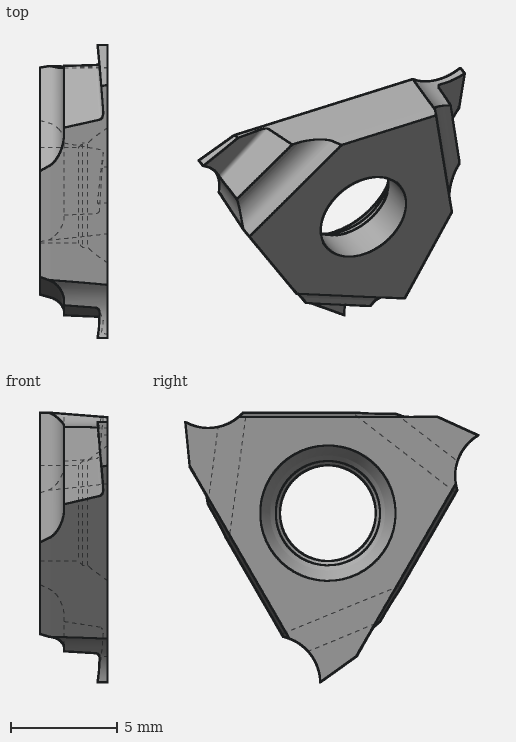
import cadquery as cq
import math


THICKNESS = 3.19
TEETH = 3
REACH = 8.27

APOTHEM = 4.73
COLLAR = 0.51
SIDE_TAPER = 4.5

HOLE_R = 2.25
BORE_END = 1.8
RELIEF_R = 2.45
RELIEF_START = 2.01
RELIEF_END = 2.25
FLARE_R = 2.7
FLARE_DEPTH = 2.51
MOUTH_R = 3.19

TIP = (6.72, 4.32)
HEEL = (6.5, 2.07)
FLANK_R = 2.23
FLANK_CENTER_U = 5.63
FLANK_LOW_V = 4.01

GROOVE_ANGLE = 7.75
GROOVE_START = 4.44
ENTRY_END = (4.59, 0.44)
ARC_END = (5.36, 1.13)
GROOVE_R = 1.0
RIDGE = (5.67, ARC_END[1])
RAKE_TILT = 3.5
RAKE_ROOT = (5.79, 2.8)
LAND_START = (6.72, 2.76)
LAND_TIP = (7.24, 2.7)
TIP_ALONG = -3.35
ROOT_FILLET = 0.2

FACE_PLANE = cq.Plane(origin=(0, 0, 0), xDir=(0, -1, 0), normal=(-1, 0, 0))


def face_sketch(depth=0):
    return cq.Workplane(FACE_PLANE).workplane(offset=-depth)


def make_body():
    """Triangle with one side on top: a straight collar, then a tapered part."""
    circumscribed = 4 * APOTHEM
    taper_depth = THICKNESS - COLLAR
    collar = face_sketch().polygon(TEETH, circumscribed).extrude(-COLLAR)
    tapered = face_sketch(COLLAR).polygon(TEETH, circumscribed).extrude(-taper_depth, taper=SIDE_TAPER)
    return collar.union(tapered).rotate((0, 0, 0), (1, 0, 0), -30)


def make_hole():
    """Revolved hole with its wide mouth on the back face."""
    profile = [
        (0, 0),
        (0, HOLE_R),
        (BORE_END, HOLE_R),
        (RELIEF_START, RELIEF_R),
        (RELIEF_END, RELIEF_R),
        (FLARE_DEPTH, FLARE_R),
        (THICKNESS, MOUTH_R),
        (THICKNESS, 0),
    ]
    return cq.Workplane("XY").polyline(profile).close().revolve(360, (0, 0, 0), (1, 0, 0))


def make_flank():
    """Round cutter that leaves the concave flank of one tooth."""
    center_v = FLANK_LOW_V + FLANK_R
    return face_sketch().center(FLANK_CENTER_U, center_v).circle(FLANK_R).extrude(-THICKNESS)


def make_end_trim():
    """Everything past the straight end face of one tooth."""
    lean = (TIP[0] - HEEL[0]) / (TIP[1] - HEEL[1])
    top_u = TIP[0] + lean * REACH
    top_v = TIP[1] + REACH
    bottom_u = HEEL[0] - lean * REACH
    bottom_v = HEEL[1] - REACH
    outline = [
        (bottom_u, bottom_v),
        (top_u, top_v),
        (top_u + REACH, top_v),
        (bottom_u + REACH, bottom_v),
    ]
    return face_sketch().polyline(outline).close().extrude(-THICKNESS)


def groove_sketch(along, tilt):
    """Section plane across the groove: local x is outward, local y is depth."""
    angle = math.radians(GROOVE_ANGLE)
    slope = math.radians(tilt)
    outward = cq.Vector(0, -math.cos(angle), math.sin(angle))
    along_dir = cq.Vector(0, -math.sin(angle), -math.cos(angle))
    normal = along_dir * -math.cos(slope) + cq.Vector(-math.sin(slope), 0, 0)
    return cq.Workplane(cq.Plane(origin=along_dir * along, xDir=outward, normal=normal))


def make_seat_groove():
    """Sloped entry and concave arc that ends in a flat step."""
    run = ARC_END[0] - ENTRY_END[0]
    rise = ARC_END[1] - ENTRY_END[1]
    chord = math.hypot(run, rise)
    sagitta = GROOVE_R - math.sqrt(GROOVE_R ** 2 - (chord / 2) ** 2)
    arc_middle = (
        (ENTRY_END[0] + ARC_END[0]) / 2 - sagitta * rise / chord,
        (ENTRY_END[1] + ARC_END[1]) / 2 + sagitta * run / chord,
    )
    profile = (
        groove_sketch(0, 0)
        .moveTo(GROOVE_START, 0)
        .lineTo(*ENTRY_END)
        .threePointArc(arc_middle, ARC_END)
        .lineTo(ARC_END[0] + REACH, ARC_END[1])
        .lineTo(ARC_END[0] + REACH, 0)
        .close()
    )
    return profile.extrude(REACH, both=True)


def make_rake_cut():
    """Steep wall, filleted root, rake face and land, tilted to deepen away from the tip."""
    land_slope = (LAND_TIP[1] - LAND_START[1]) / (LAND_TIP[0] - LAND_START[0])
    wall_slope = (RAKE_ROOT[0] - RIDGE[0]) / (RAKE_ROOT[1] - RIDGE[1])
    wall_top = (RAKE_ROOT[0] - wall_slope * (RAKE_ROOT[1] + REACH), -REACH)
    land_end = (LAND_TIP[0] + REACH, LAND_TIP[1] + land_slope * REACH)
    outline = [wall_top, RAKE_ROOT, LAND_START, land_end, (land_end[0], -REACH)]
    section = groove_sketch(TIP_ALONG, RAKE_TILT)
    cutter = section.polyline(outline).close().extrude(REACH, both=True)
    root_point = section.plane.toWorldCoords(RAKE_ROOT).toTuple()
    root_edge = cq.selectors.NearestToPointSelector(root_point)
    cutter = cutter.edges(root_edge).fillet(ROOT_FILLET)
    deeper = cq.Workplane("XY").box(THICKNESS, 4 * REACH, 4 * REACH)
    return cutter.intersect(deeper.translate((RIDGE[1] + THICKNESS / 2, 0, 0)))


result = make_body().cut(make_hole())
cutters = [make_flank(), make_end_trim(), make_seat_groove(), make_rake_cut()]
for tooth in range(TEETH):
    for cutter in cutters:
        result = result.cut(cutter.rotate((0, 0, 0), (1, 0, 0), tooth * 360 / TEETH))